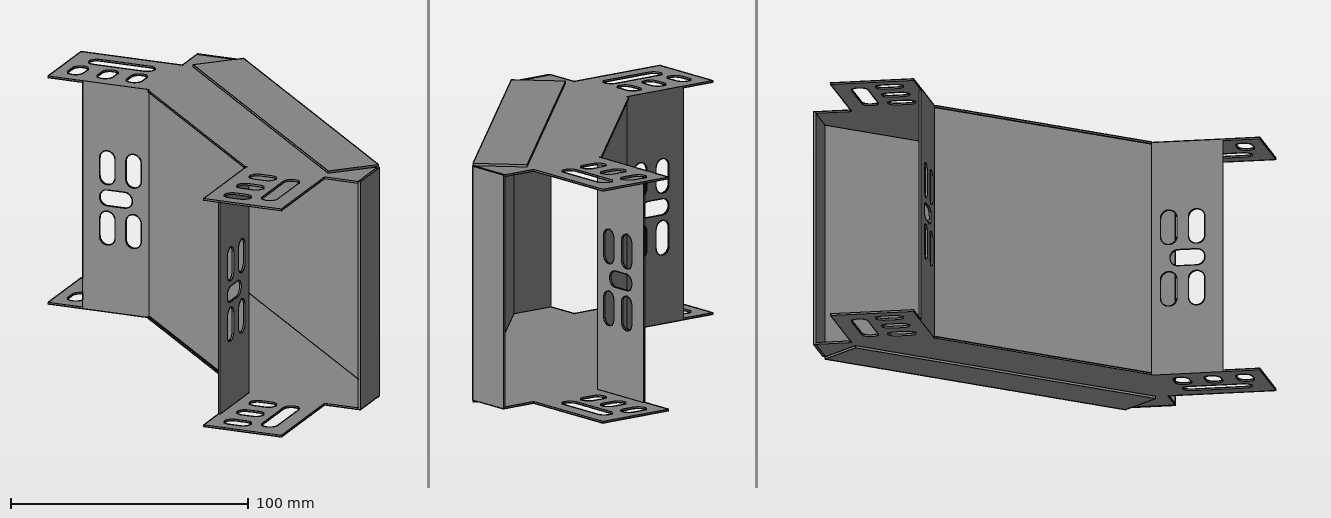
import cadquery as cq
import math

overall = 176.2
channel_sheet = 0.8
cover_sheet = 1.0
overall_height = 103.2

leg_end = 46.3
leg_inner = 124.2
leg_outer = 159.8
leg_wall_start = 15.9
lip = 0.7

cover_corner = 67
flange_depth = 22.9
flange_inset = 1.0

slot_width = 7.0
plate_slot_length = 12.0
plate_slot_centres = (8.6, 22.2, 35.5)
plate_slot_offset = 136.2
long_slot_length = 30
long_slot_centre = 23.0
long_slot_offset = 149.5
wall_slot_length = 15.0
wall_slot_columns = (27.1, 39.1)
wall_slot_rise = 13.4

channel_height = overall_height - 2 * cover_sheet
plate_edge = overall - cover_sheet
cover_inner_corner = cover_corner + cover_sheet - cover_sheet * math.sqrt(2)
inside_bend = leg_end + channel_sheet * math.sqrt(2) - channel_sheet
flange_setback = flange_depth / math.sqrt(2)
inset_shift = flange_inset / math.sqrt(2)
lip_shift = lip * math.sqrt(2)


def swap(points):
    """Mirror points across the 45 degree plane that maps X onto Y."""
    return [(y, x) for x, y in points]


def symmetric_outline(half):
    """Close an outline from the half that lies on the Y side of the 45 degree plane."""
    return half + swap(half)[::-1]


def bent_strip(outer_half, inner_half):
    """Outline of a bent sheet, out along its outer face and back along its inner face."""
    return symmetric_outline(outer_half) + symmetric_outline(inner_half)[::-1]


def prism(points, height):
    """Extrude an outline centred on mid height."""
    return cq.Workplane("XY").polyline(points).close().extrude(height / 2, both=True)


def mirrored_pair(body):
    """Join a body on the leg along X with its copy on the leg along Y."""
    copy = body.mirror("XZ").rotate((0, 0, 0), (0, 0, 1), 90)
    return body.union(copy)


def make_plates():
    """Top and bottom plates of the channel."""
    outline = symmetric_outline([
        (leg_end, leg_inner - lip_shift),
        (leg_end, leg_inner),
        (0, leg_inner),
        (0, leg_outer),
        (leg_end, leg_outer),
        (leg_end, plate_edge),
        (cover_inner_corner, plate_edge),
    ])
    clear_height = channel_height - 2 * channel_sheet
    return prism(outline, channel_height).cut(prism(outline, clear_height))


def make_inner_wall():
    """Inner wall of the channel: a diagonal panel between two leg walls."""
    outline = bent_strip(
        outer_half=[(leg_wall_start, leg_inner + channel_sheet), (inside_bend, leg_inner + channel_sheet)],
        inner_half=[(leg_wall_start, leg_inner), (leg_end, leg_inner)],
    )
    return prism(outline, channel_height)


def plate_slots():
    """Cutters through both plates of the leg along X."""
    short_slots = (
        cq.Workplane("XY")
        .pushPoints([(x, plate_slot_offset) for x in plate_slot_centres])
        .slot2D(plate_slot_length, slot_width, 90)
        .extrude(channel_height, both=True)
    )
    long_slot = (
        cq.Workplane("XY")
        .center(long_slot_centre, long_slot_offset)
        .slot2D(long_slot_length, slot_width)
        .extrude(channel_height, both=True)
    )
    return short_slots.union(long_slot)


def wall_slots():
    """Cutters through the leg wall along X: four upright slots and one lying between them."""
    lying_centre = wall_slot_columns[0] + (wall_slot_length - slot_width) / 2
    wall_plane = cq.Workplane("XZ", origin=(0, leg_inner + channel_sheet / 2, 0))
    upright = (
        wall_plane
        .pushPoints([(x, z) for x in wall_slot_columns for z in (-wall_slot_rise, wall_slot_rise)])
        .slot2D(wall_slot_length, slot_width, 90)
        .extrude(channel_sheet, both=True)
    )
    lying = (
        wall_plane
        .center(lying_centre, 0)
        .slot2D(wall_slot_length, slot_width)
        .extrude(channel_sheet, both=True)
    )
    return upright.union(lying)


def make_channel():
    """Plates and inner wall as one bent sheet, slotted in both legs."""
    slots = mirrored_pair(plate_slots().union(wall_slots()))
    return make_plates().union(make_inner_wall()).cut(slots)


def make_cover():
    """Bent outer wall whose flanges lap over the faces of the plates."""
    wall_outline = bent_strip(
        outer_half=[(leg_end, overall), (cover_corner, overall)],
        inner_half=[(leg_end, plate_edge), (cover_inner_corner, plate_edge)],
    )
    flange_outline = symmetric_outline([
        (cover_corner + inset_shift - flange_setback, overall - inset_shift - flange_setback),
        (cover_corner + inset_shift, overall - inset_shift),
    ])
    flanges = prism(flange_outline, overall_height).cut(prism(flange_outline, channel_height))
    return prism(wall_outline, channel_height).union(flanges)


channel = make_channel()
cover = make_cover()
result = cq.Compound.makeCompound([channel.val(), cover.val()])